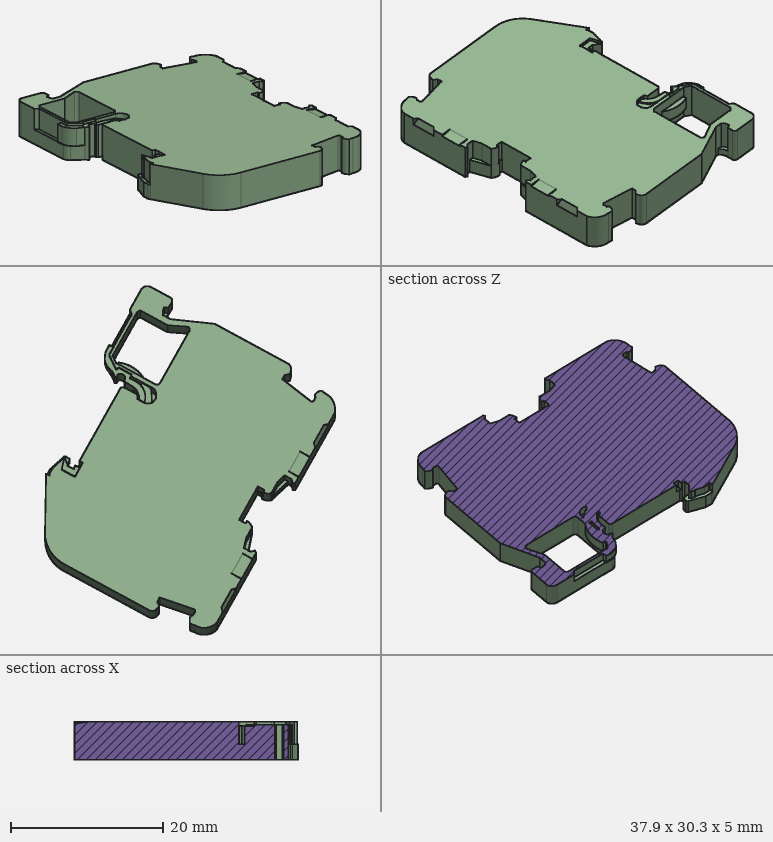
import math

import cadquery as cq

ARC_INSET = 1 - math.sqrt(0.5)

LENGTH = 37.93
HEIGHT = 30.32
THICKNESS = 5.0

LEFT_SIDE = 0.26
MID_X = (LEFT_SIDE + LENGTH) / 2
SHOULDER_Y = 21.76
SADDLE_Y = 26.24
BODY_BOTTOM = 4.09
RIM_BOTTOM = 0.11

SHELF_Z = 2.07
CLIP_Z = 4.63
STRIP_Z = 4.45

HOOK_WALL = 13.56
RAMP_LOW = 28.22
RAMP_START = (HOOK_WALL, 29.15)
RAMP_END = (16.50, RAMP_LOW)

HOOK_TOP = 4.45
HOOK_RADIUS = 0.95
HOOK_TOP_RADIUS = 0.45
HOOK_FILL_Z = 1.0

MARKER_X = 9.79
MARKER_WIDTH = 3.04
MARKER_HEIGHT = 1.52
MARKER_DROP = 0.25

DIMPLE_LEFT = 4.75
DIMPLE_RIGHT = 8.34
DIMPLE_FLANK = 0.42
DIMPLE_DEPTH = 0.46
DIMPLE_DROP = 1.0

WINDOW_LEFT = 3.42
WINDOW_RIGHT = 11.10
WINDOW_BOTTOM = 1.10
WINDOW_TOP = 8.31
BULGE_TOP = 6.36
BULGE_BOTTOM = 2.10
BULGE_BOTTOM_Z = 1.8
BULGE_TOP_Z = 3.5

RELIEF_LEFT = 3.98
RIM_TOP = 0.64
SLOT_LEFT = 11.71
SLOT_RIGHT = 13.94
SLOT_SPRING_Y = 7.75
SLOT_TOP = 8.82
CLIP_POCKET_LEFT = 11.45
CLIP_POCKET_BOTTOM = 2.57
CLIP_POCKET_TOP = 4.50
RELIEF_CORNER = (11.84, 2.40)
RIM_CORNER = (10.60, RIM_TOP)
LEAF_LEFT = 9.36
ARM_LEFT = 11.96
ARM_RIGHT = 12.75
ARM_BEND_Y = 5.40
CLIP_FACE = [
    (12.70, 4.20),
    (12.58, 3.98),
    (12.18, 3.98),
    ((11.96, 3.47), (12.24, 2.88)),
    (12.58, 2.88),
    (12.75, 2.68),
    (12.35, 2.23),
]
GAP_RIGHT = 13.46
GAP_RADIUS = 0.38

CORNER_RADIUS = 4.79
CORNER_TOP = 8.94
CORNER_SWEEP = math.radians(62.2)

FOOT_POCKET_LEFT = 24.88
FOOT_POCKET_RIGHT = 27.0
FOOT_POCKET_TOP = 4.58
FOOT_CLIP_LEFT = 25.60
FOOT_POCKET_BOTTOM = 2.59
FOOT_BOTTOM = 0.98
FOOT_STEP_Y = 1.48
FOOT_STEP_X = 28.49
FOOT_NOSE = (25.32, 2.10)
NOTCH_X = 26.13
NOTCH_LOW = 3.03
JOIN_OVERLAP = 0.1
CUT_MARGIN = 1.0


def outline(start, steps, bottom, top):
    """Extrude a closed outline; a step is a point, or (mid, end) for an arc."""
    sketch = cq.Workplane("XY").workplane(offset=bottom).moveTo(*start)
    for step in steps:
        if isinstance(step[0], tuple):
            sketch = sketch.threePointArc(*step)
        else:
            sketch = sketch.lineTo(*step)
    return sketch.close().extrude(top - bottom)


def box(left, low, right, high, bottom, top):
    """Box given by its six side positions."""
    corners = [(right, low), (right, high), (left, high)]
    return outline((left, low), corners, bottom, top)


def wedge(left, right, low, drop):
    """Triangular prism along X, falling from the top face towards the upper edge."""
    profile = [(low, THICKNESS), (HEIGHT, THICKNESS), (HEIGHT, THICKNESS - drop)]
    return cq.Workplane("YZ").workplane(offset=left).polyline(profile).close().extrude(right - left)


def marker_pocket():
    """Label marker pocket with a sloping floor, open at the upper edge."""
    low = HEIGHT - MARKER_HEIGHT
    return wedge(MARKER_X, MARKER_X + MARKER_WIDTH, low, MARKER_DROP)


def dimple():
    """Shallow trapezoidal dimple in the upper edge."""
    floor = HEIGHT - DIMPLE_DEPTH
    trapezoid = [
        (DIMPLE_LEFT + DIMPLE_FLANK, floor),
        (DIMPLE_RIGHT - DIMPLE_FLANK, floor),
        (DIMPLE_RIGHT, HEIGHT),
    ]
    plan = outline((DIMPLE_LEFT, HEIGHT), trapezoid, THICKNESS - DIMPLE_DROP, THICKNESS)
    return plan.intersect(wedge(DIMPLE_LEFT, DIMPLE_RIGHT, floor, DIMPLE_DROP))


def left_head():
    """Upper left half: rounded shoulder, side notch, head and hook at the saddle."""
    steps = [
        (LEFT_SIDE, SHOULDER_Y),
        ((0.40, 22.20), (0.75, 22.50)),
        (1.35, 22.65),
        (1.78, 22.15),
        (2.43, 22.10),
        (3.23, 26.87),
        ((3.15, 27.05), (2.95, 27.10)),
        (2.45, 27.10),
        (2.30, 26.87),
        ((1.75, 26.98), (1.30, 27.35)),
        (1.40, 28.00),
        ((1.88, 29.50), (3.10, HEIGHT)),
        (13.80, HEIGHT),
        (13.96, 30.04),
        (HOOK_WALL, 29.63),
        RAMP_START,
        RAMP_END,
        ((16.78, 27.80), (16.93, 27.00)),
        (16.68, 27.00),
        (16.68, SADDLE_Y),
        (MID_X, SADDLE_Y),
    ]
    head = outline((MID_X, SHOULDER_Y), steps, 0, THICKNESS)
    ramp_relief = [(14.83, RAMP_LOW), RAMP_END, RAMP_START]
    hook_relief = outline((HOOK_WALL, 28.59), ramp_relief, SHELF_Z, THICKNESS)
    saddle_relief = box(16.56, SADDLE_Y, MID_X, 27.20, SHELF_Z, THICKNESS)
    return head.cut(hook_relief).cut(saddle_relief).cut(marker_pocket()).cut(dimple())


def corner_point(angle):
    """Point on the large corner, at an angle below its tangent point."""
    across = LENGTH - CORNER_RADIUS * (1 - math.cos(angle))
    return (across, CORNER_TOP - CORNER_RADIUS * math.sin(angle))


def lower_body():
    """Lower body with the rail hook, window frame, left clip and right foot."""
    steps = [
        (LENGTH, CORNER_TOP),
        (corner_point(CORNER_SWEEP / 2), corner_point(CORNER_SWEEP)),
        (28.58, 1.11),
        ((28.42, 1.02), (28.20, FOOT_BOTTOM)),
        (27.24, FOOT_BOTTOM),
        (24.95, 1.76),
        ((24.76, 1.86), (24.76, 2.02)),
        (24.76, 2.47),
        ((24.83, 2.60), (25.00, 2.63)),
        (25.69, 2.72),
        (NOTCH_X, NOTCH_LOW),
        (NOTCH_X, 3.92),
        (25.63, 3.84),
        (25.44, BODY_BOTTOM),
        (GAP_RIGHT + GAP_RADIUS, BODY_BOTTOM),
        (
            (GAP_RIGHT + GAP_RADIUS * ARC_INSET, BODY_BOTTOM + GAP_RADIUS * ARC_INSET),
            (GAP_RIGHT, BODY_BOTTOM + GAP_RADIUS),
        ),
        (GAP_RIGHT, 6.47),
        ((12.92, 6.05), (ARM_RIGHT, ARM_BEND_Y)),
        *CLIP_FACE,
        (11.34, 0.60),
        ((10.95, 0.25), (10.47, RIM_BOTTOM)),
        (HOOK_RADIUS, RIM_BOTTOM),
        ((HOOK_RADIUS * ARC_INSET, RIM_BOTTOM + HOOK_RADIUS * ARC_INSET), (0, RIM_BOTTOM + HOOK_RADIUS)),
        (0, HOOK_TOP - HOOK_TOP_RADIUS),
        (
            (HOOK_TOP_RADIUS * ARC_INSET, HOOK_TOP - HOOK_TOP_RADIUS * ARC_INSET),
            (HOOK_TOP_RADIUS, HOOK_TOP),
        ),
        (1.32, 4.43),
        ((2.05, 4.60), (2.51, 4.95)),
        (2.51, 5.40),
        (LEFT_SIDE, 10.77),
        (LEFT_SIDE, SHOULDER_Y),
    ]
    return outline((LENGTH, SHOULDER_Y), steps, 0, THICKNESS)


def hook_corner_relief():
    """Deepens the inner corner of the rail hook above its filled base."""
    steps = [((1.90, 3.95), (2.51, 4.28)), (2.51, 4.95), ((2.05, 4.60), (1.32, 4.43))]
    return outline((1.49, 3.93), steps, HOOK_FILL_Z, THICKNESS)


def window():
    """Wiring window through the full thickness."""
    steps = [
        (10.49, WINDOW_BOTTOM),
        (WINDOW_RIGHT, 2.00),
        (WINDOW_RIGHT, 7.81),
        ((10.97, 8.16), (10.60, WINDOW_TOP)),
        (2.80, WINDOW_TOP),
        ((2.40, 8.17), (2.36, 7.75)),
        (WINDOW_LEFT, 5.45),
        (WINDOW_LEFT, 1.38),
    ]
    return outline((3.76, WINDOW_BOTTOM), steps, 0, THICKNESS)


def window_bulge():
    """Curved bulge on the right wall of the window."""
    inside_wall = WINDOW_RIGHT + JOIN_OVERLAP
    steps = [
        (WINDOW_RIGHT, BULGE_TOP),
        ((10.32, 4.25), (10.62, BULGE_BOTTOM)),
        (inside_wall, BULGE_BOTTOM),
    ]
    return outline((inside_wall, BULGE_TOP), steps, BULGE_BOTTOM_Z, BULGE_TOP_Z)


def rim_relief():
    """Setback of the window frame and the clip pocket."""
    right = (ARM_RIGHT + GAP_RIGHT) / 2
    steps = [
        (RELIEF_LEFT, RIM_BOTTOM),
        (4.38, RIM_TOP),
        RIM_CORNER,
        RELIEF_CORNER,
        (CLIP_POCKET_LEFT, CLIP_POCKET_BOTTOM),
        (CLIP_POCKET_LEFT, CLIP_POCKET_TOP),
        (right, CLIP_POCKET_TOP),
        (right, -CUT_MARGIN),
    ]
    return outline((RELIEF_LEFT, -CUT_MARGIN), steps, SHELF_Z, THICKNESS)


def slot():
    """Round-ended slot around the spring arm."""
    middle = (SLOT_LEFT + SLOT_RIGHT) / 2
    steps = [
        (SLOT_LEFT, SLOT_SPRING_Y),
        ((middle, SLOT_TOP), (SLOT_RIGHT, SLOT_SPRING_Y)),
        (SLOT_RIGHT, 6.70),
        (GAP_RIGHT, 6.47),
        (GAP_RIGHT, CLIP_POCKET_TOP),
    ]
    return outline((SLOT_LEFT, CLIP_POCKET_TOP), steps, SHELF_Z, THICKNESS)


def left_clip():
    """Spring clip: leaf under the frame, C-shaped notch and curved spring arm."""
    steps = [
        RIM_CORNER,
        RELIEF_CORNER,
        (CLIP_POCKET_LEFT, CLIP_POCKET_BOTTOM),
        (CLIP_POCKET_LEFT, CLIP_POCKET_TOP),
        (ARM_LEFT, CLIP_POCKET_TOP),
        (ARM_LEFT, ARM_BEND_Y),
        ((12.50, 6.95), (SLOT_RIGHT, SLOT_SPRING_Y)),
        (SLOT_RIGHT, 7.00),
        ((13.05, 6.25), (ARM_RIGHT, ARM_BEND_Y)),
        *CLIP_FACE,
        (12.00, 1.15),
        ((11.25, 0.36), (10.26, 0)),
        (LEAF_LEFT, 0),
    ]
    return outline((LEAF_LEFT, RIM_TOP), steps, SHELF_Z, CLIP_Z)


def slot_strip():
    """Sunken strip bridging the slot between its left wall and the spring arm."""
    steps = [
        (SLOT_LEFT, 7.43),
        ((12.30, 7.98), (13.00, 8.35)),
        (13.30, 8.75),
        (14.10, 8.10),
        (13.80, 7.65),
        ((12.75, 7.20), (12.10, 6.20)),
    ]
    return outline((SLOT_LEFT, 6.20), steps, SHELF_Z, STRIP_Z)


def foot_relief():
    """Setback of the foot above its shelf."""
    steps = [
        FOOT_NOSE,
        (27.43, FOOT_STEP_Y),
        (28.20, FOOT_STEP_Y),
        (FOOT_STEP_X, 1.64),
        (FOOT_STEP_X, 0),
        (FOOT_POCKET_LEFT - CUT_MARGIN, 0),
        (FOOT_POCKET_LEFT - CUT_MARGIN, NOTCH_LOW),
    ]
    return outline((NOTCH_X, NOTCH_LOW), steps, SHELF_Z, THICKNESS)


def foot_pocket():
    """Pocket above the right clip, with a deep corner on its left."""
    steps = [
        (FOOT_POCKET_RIGHT, FOOT_POCKET_BOTTOM),
        (FOOT_POCKET_RIGHT, FOOT_POCKET_TOP),
        (FOOT_CLIP_LEFT, FOOT_POCKET_TOP),
        (FOOT_CLIP_LEFT, NOTCH_LOW),
    ]
    over_clip = outline(FOOT_NOSE, steps, CLIP_Z, THICKNESS)
    corner = box(FOOT_POCKET_LEFT, 3.80, FOOT_CLIP_LEFT, FOOT_POCKET_TOP, SHELF_Z, THICKNESS)
    return over_clip.union(corner)


def foot_clip_tip():
    """End of the right clip, standing slightly proud of the set-back foot wall."""
    steps = [(25.55, 1.93), (26.15, 1.76), (26.20, 2.10), (25.60, 2.25)]
    return outline(FOOT_NOSE, steps, SHELF_Z, CLIP_Z)


head = left_head()
body = lower_body().union(head).union(head.mirror("YZ", (MID_X, 0, 0)))
for relief in (window(), hook_corner_relief(), rim_relief(), slot(), foot_relief(), foot_pocket()):
    body = body.cut(relief)
for addition in (window_bulge(), left_clip(), slot_strip(), foot_clip_tip()):
    body = body.union(addition)

result = body.clean()